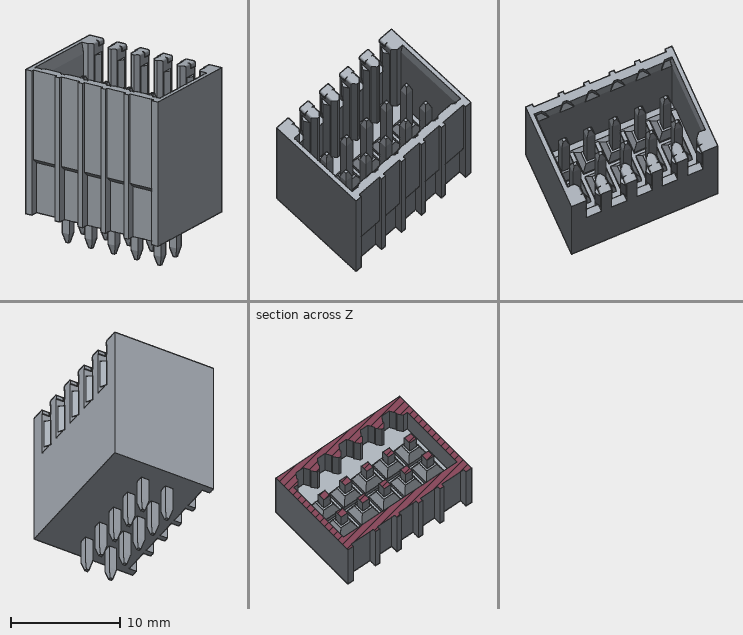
import cadquery as cq
import math

width = 14.65
depth = 10.5
overall_height = 17.7
pins_below = 3.49
housing_height = overall_height - pins_below
front_y = -depth / 2
back_y = depth / 2

columns = 5
column_span = 10.16
pitch = column_span / (columns - 1)
rear_row_y = 0.94
front_row_y = rear_row_y - pitch
column_xs = [(i - (columns - 1) / 2) * pitch for i in range(columns)]
divider_xs = [(i - columns / 2) * pitch for i in range(1, columns)]

pin_size = 0.8
pin_tip_size = 0.3
pin_tip_length = 0.97
pin_top_z = 12.02

cavity_half_width = 6.69
cavity_back_y = 3.35
cavity_front_y = -3.82
floor_z = 2.21
deck_z = 2.83
side_taper_run = 0.21
side_taper_height = 1.1

lip_y = -4.3
lip_straight_depth = 0.62
lip_depth = 1.1

pad_top_y = -4.1
pad_slope_depth = 0.92
pad_root_half_width = 1.1
pad_tip_half_width = 0.55

collar_top_size = 1.19
collar_height = 1.3
collar_half_width = 1.06
collar_side_run = 0.67
collar_rear_run = 0.62
collar_front_run = 0.73
collar_gap = 0.39
collar_gap_y = (rear_row_y + front_row_y) / 2

slot_half_width = 0.76
latch_half_width = 0.67
latch_height = 0.51
sill_front_y = 4.51
slot_edge_radius = 0.23
sill_z = 9.12
post_chamfer_y = 3.8
post_tip_width = 0.28

rib_top_z = 12.97
rib_half_gap = 0.42
rib_front_y = 3.96
rib_back_y = 5.06
rib_relief_front_height = 1.06
rib_relief_back_height = 0.7

end_ridge_width = 0.69
ridge_width = 0.51
groove_depth = 0.28
low_groove_depth = 0.78
groove_step_bottom_z = 4.94
groove_step_top_z = 5.4


def box(x0, x1, y0, y1, z0, z1):
    return cq.Workplane("XY").box(x1 - x0, y1 - y0, z1 - z0, centered=False).translate((x0, y0, z0))


def prism_along_x(yz_points, x0, x1):
    return cq.Workplane("YZ").polyline(yz_points).close().extrude(x1 - x0).translate((x0, 0, 0))


def prism_along_z(xy_points, z0, z1):
    return cq.Workplane("XY").polyline(xy_points).close().extrude(z1 - z0).translate((0, 0, z0))


def rectangle_wire(x0, x1, y0, y1, z):
    corners = [(x0, y0, z), (x1, y0, z), (x1, y1, z), (x0, y1, z)]
    return cq.Wire.makePolygon([cq.Vector(*c) for c in corners], close=True)


def frustum(lower, upper):
    """Solid with flat sides between two horizontal rectangles (x0, x1, y0, y1, z)."""
    return cq.Workplane(cq.Solid.makeLoft([rectangle_wire(*lower), rectangle_wire(*upper)], True))


def cavity():
    """Open-topped well with flared side walls, a front lip and a raised rear deck."""
    ramp_run = collar_front_run * (deck_z - floor_z) / collar_height
    deck_front_y = front_row_y - collar_top_size / 2 - collar_front_run
    well = prism_along_x(
        [
            (deck_front_y, deck_z),
            (deck_front_y - ramp_run, floor_z),
            (cavity_front_y, floor_z),
            (cavity_front_y, housing_height - lip_depth),
            (lip_y, housing_height - lip_straight_depth),
            (lip_y, housing_height),
            (cavity_back_y, housing_height),
            (cavity_back_y, deck_z),
        ],
        -cavity_half_width,
        cavity_half_width,
    )
    top_half_width = cavity_half_width + side_taper_run
    flare = frustum(
        (-cavity_half_width, cavity_half_width, lip_y, cavity_back_y, housing_height - side_taper_height),
        (-top_half_width, top_half_width, lip_y, cavity_back_y, housing_height),
    )
    lip_keep = prism_along_x(
        [
            (lip_y, housing_height - lip_straight_depth),
            (cavity_front_y, housing_height - lip_depth),
            (lip_y, housing_height - lip_depth),
        ],
        -cavity_half_width,
        cavity_half_width,
    )
    return well.union(flare.cut(lip_keep))


def front_pad(x):
    """Wall pad that narrows toward the cavity and slopes down from the top edge."""
    plan = prism_along_z(
        [
            (x - pad_root_half_width, lip_y),
            (x + pad_root_half_width, lip_y),
            (x + pad_tip_half_width, cavity_front_y),
            (x - pad_tip_half_width, cavity_front_y),
        ],
        housing_height - lip_depth,
        housing_height,
    )
    slope = prism_along_x(
        [
            (lip_y, housing_height),
            (pad_top_y, housing_height),
            (cavity_front_y, housing_height - pad_slope_depth),
            (cavity_front_y, housing_height - lip_depth),
            (lip_y, housing_height - lip_depth),
        ],
        x - pad_root_half_width,
        x + pad_root_half_width,
    )
    return plan.intersect(slope)


def slot_cutter(x, half_width, y0, y1, bottom_z):
    """Slot running along Y whose upper edges flare out in a rounding."""
    r = slot_edge_radius
    top = housing_height
    flare_mid = r * (1 - math.sqrt(0.5))
    profile = (
        cq.Workplane("XZ")
        .moveTo(-half_width, bottom_z)
        .lineTo(half_width, bottom_z)
        .lineTo(half_width, top - r)
        .threePointArc((half_width + flare_mid, top - flare_mid), (half_width + r, top))
        .lineTo(-half_width - r, top)
        .threePointArc((-half_width - flare_mid, top - flare_mid), (-half_width, top - r))
        .close()
    )
    return profile.extrude(y0 - y1).translate((x, y0, 0))


def back_wall_opening(x):
    """Slot with an outer sill, narrow overhanging latch edges and a tapered mouth."""
    latch_z = housing_height - latch_height
    inner = slot_cutter(x, slot_half_width, cavity_back_y, sill_front_y, deck_z)
    latch = slot_cutter(x, latch_half_width, sill_front_y, back_y, sill_z)
    window = box(x - slot_half_width, x + slot_half_width, sill_front_y, back_y, sill_z, latch_z)
    mouth_half_width = (pitch - post_tip_width) / 2
    mouth = prism_along_z(
        [
            (x - mouth_half_width, cavity_back_y),
            (x + mouth_half_width, cavity_back_y),
            (x + slot_half_width, post_chamfer_y),
            (x - slot_half_width, post_chamfer_y),
        ],
        deck_z,
        housing_height,
    )
    return inner.union(latch).union(window).union(mouth)


def guide_rib(x, side):
    """V-shaped rib on one side (-1 or +1) of the slot, relieved behind its apex above the sill."""
    rib = prism_along_z(
        [
            (x + side * slot_half_width, rib_front_y),
            (x + side * rib_half_gap, sill_front_y),
            (x + side * slot_half_width, rib_back_y),
        ],
        deck_z,
        rib_top_z,
    )
    relief = prism_along_x(
        [
            (sill_front_y, sill_z),
            (back_y, sill_z),
            (back_y, sill_z + rib_relief_back_height),
            (sill_front_y, sill_z + rib_relief_front_height),
        ],
        x - slot_half_width,
        x + slot_half_width,
    )
    return rib.cut(relief)


def front_groove():
    """Recess in the outer front face, deeper below a sloped step."""
    half_width = width / 2 - end_ridge_width
    return prism_along_x(
        [
            (front_y, 0),
            (front_y + low_groove_depth, 0),
            (front_y + low_groove_depth, groove_step_bottom_z),
            (front_y + groove_depth, groove_step_top_z),
            (front_y + groove_depth, housing_height),
            (front_y, housing_height),
        ],
        -half_width,
        half_width,
    )


def front_ridge(x):
    half = ridge_width / 2
    return box(x - half, x + half, front_y, front_y + low_groove_depth, 0, housing_height)


def collar(x, y, y_min, y_max):
    """Drafted collar whose foot is trimmed to its own cell of the deck."""
    half = collar_top_size / 2
    side = half + collar_side_run
    top_z = deck_z + collar_height
    body = frustum(
        (x - side, x + side, y - half - collar_front_run, y + half + collar_rear_run, deck_z),
        (x - half, x + half, y - half, y + half, top_z),
    )
    cell = box(x - collar_half_width, x + collar_half_width, y_min, y_max, deck_z, top_z)
    return body.intersect(cell)


def pin(x, y):
    """Square pin with pyramidal points at both ends."""
    half = pin_size / 2
    tip = pin_tip_size / 2
    shank_bottom = -pins_below + pin_tip_length
    shank_top = pin_top_z - pin_tip_length

    def square(size, z):
        return (x - size, x + size, y - size, y + size, z)

    shank = box(x - half, x + half, y - half, y + half, shank_bottom, shank_top)
    lower_point = frustum(square(tip, -pins_below), square(half, shank_bottom))
    upper_point = frustum(square(half, shank_top), square(tip, pin_top_z))
    return shank.union(lower_point).union(upper_point)


housing = box(-width / 2, width / 2, front_y, back_y, 0, housing_height)
housing = housing.cut(cavity()).cut(front_groove())
for divider_x in divider_xs:
    housing = housing.union(front_ridge(divider_x))

for column_x in column_xs:
    housing = housing.union(front_pad(column_x))
    housing = housing.cut(back_wall_opening(column_x))
    for rib_side in (-1, 1):
        housing = housing.union(guide_rib(column_x, rib_side))

result = housing
for column_x in column_xs:
    rear_collar = collar(column_x, rear_row_y, collar_gap_y + collar_gap / 2, cavity_back_y)
    front_collar = collar(column_x, front_row_y, front_y, collar_gap_y - collar_gap / 2)
    result = result.union(rear_collar).union(front_collar)
    for row_y in (rear_row_y, front_row_y):
        result = result.union(pin(column_x, row_y))